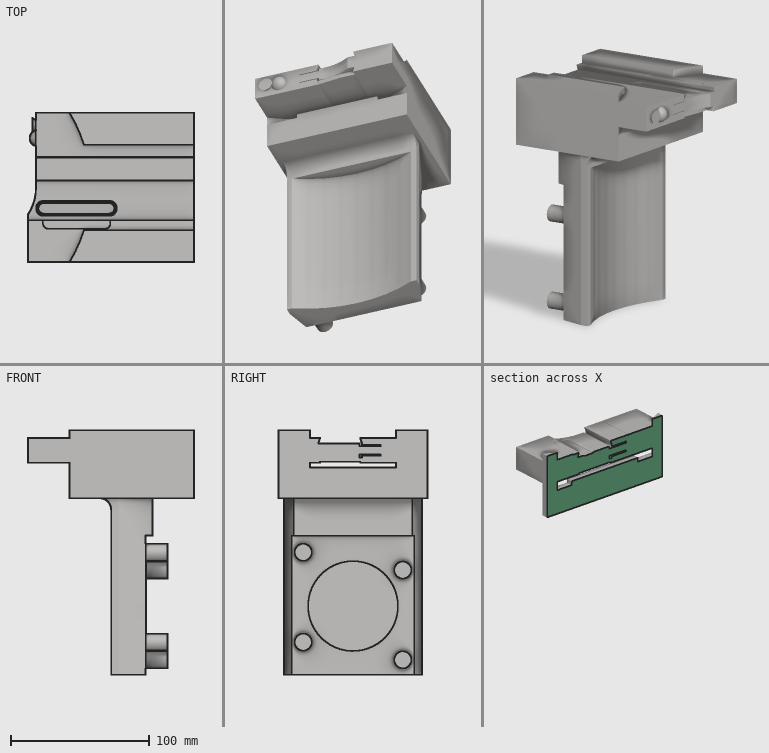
import cadquery as cq
import math

LENGTH = 120.0
WIDTH = 108.0
HEIGHT = 177.0

BASE_FRONT = 30.0
BASE_BOTTOM = 127.6
RAIL_INNER_Y = 31.0
RAIL_FRONT_INNER_X = 40.4
LEDGE_Z = 146.9
CHANNEL_FLOOR_Z = 150.0

PLATE_THICKNESS = 18.0
PLATE_TOP = 171.3
PLATE_BOTTOM = PLATE_TOP - PLATE_THICKNESS
PLATE_MID_Z = PLATE_TOP - PLATE_THICKNESS / 2
PLATE_STEP_X = 5.7
STEP_CURVE_RADIUS = 36.2

DOVETAIL_DEPTH = 4.0
DOVETAIL_LEFT_Y = 5.1
DOVETAIL_RIGHT_Y = -23.7
DOVETAIL_UNDERCUT = 1.3
NOTCH_RIGHT_Y = 4.7
NOTCH_DEPTH = 5.9
SLIT_END_Y = 19.9
SLIT_WIDTH = 0.7
SEAM_Y = 21.8
SEAM_WIDTH = 0.6
SEAM_DEPTH = 0.2

FILLER_BOTTOM = 154.0
FILLER_LEFT_FRONT_X = 6.7
FILLER_FRONT_X = 4.6
FILLER_CORNER_Y = -12.4

OBLONG_X = 35.0
OBLONG_Y = -15.1
OBLONG_LENGTH = 58.4
OBLONG_WIDTH = 10.9
OBLONG_BEVEL = 0.8
OBLONG_BEVEL_DEPTH = 0.4
OBLONG_INNER_INSET = 1.7
OBLONG_DEPTH = 0.7

POCKET_X_START = 10.8
POCKET_X_END = 59.6
POCKET_OUTER_Y = -29.9
POCKET_CORNER_RADIUS = 4.0
POCKET_DEPTH = 0.5

BALL_Y = 35.6
BALL_RADIUS = 5.9
BALL_CENTER_X = 7.0
BUTTON_Y = 45.2
BUTTON_HEAD_RADIUS = 5.1
BUTTON_NECK_RADIUS = 3.6
BUTTON_HEIGHT = 2.5

POST_FRONT = 60.0
POST_BACK = 85.0
POST_HEAD_BACK = 90.0
POST_HEAD_BOTTOM = 100.6
POST_HALF_WIDTH = 50.0
POST_TAPER_START_X = 65.8
POST_TAPER_SLOPE = 0.29
HOLLOW_HALF_WIDTH = 46.0
HOLLOW_DEPTH = 10.8
HOLLOW_TOP_GAP = 10.5
HOLLOW_TOP = BASE_BOTTOM - HOLLOW_TOP_GAP
POST_FILLET = 8.0

BOSS_Z = 49.75
BOSS_RADIUS = 32.5
BOSS_HEIGHT = 0.6
PIN_RADIUS = 6.2
PIN_TIP_X = 101.0
PIN_Y = 36.0
PIN_SPACING_Z = 64.9
PIN_ROW_SHIFT = 6.4


def box(x_range, y_range, z_range):
    """Axis-aligned box between pairs of coordinates."""
    (x0, x1), (y0, y1), (z0, z1) = x_range, y_range, z_range
    return cq.Workplane("XY").box(x1 - x0, y1 - y0, z1 - z0, centered=False).translate((x0, y0, z0))


def mirror_about_plate(shape):
    """Copy a shape to the other side of the plate's middle plane."""
    return shape.mirror("XY", (0, 0, PLATE_MID_Z))


def along_x(points):
    """Extrude a (y, z) outline along the full length of the part."""
    return cq.Workplane("YZ").polyline(points).close().extrude(LENGTH)


def make_base():
    """Block with a top channel and rails whose front ends are curved."""
    half = WIDTH / 2
    base = box((BASE_FRONT, LENGTH), (-half, half), (BASE_BOTTOM, HEIGHT))
    base = base.cut(box((BASE_FRONT, LENGTH), (-RAIL_INNER_Y, RAIL_INNER_Y), (CHANNEL_FLOOR_Z, HEIGHT)))
    outer_sq = BASE_FRONT**2 + half**2
    inner_sq = RAIL_FRONT_INNER_X**2 + RAIL_INNER_Y**2
    center_x = (inner_sq - outer_sq) / (2 * (RAIL_FRONT_INNER_X - BASE_FRONT))
    radius = math.hypot(BASE_FRONT - center_x, half)
    cylinder = (
        cq.Workplane("XY", origin=(center_x, 0, LEDGE_Z)).circle(radius).extrude(HEIGHT - LEDGE_Z)
    )
    core = box((BASE_FRONT, LENGTH), (-RAIL_INNER_Y, RAIL_INNER_Y), (LEDGE_Z, CHANNEL_FLOOR_Z))
    return base.cut(cylinder.cut(core))


def make_plate():
    """Plate whose front curves from the set-back half to the forward half."""
    half = WIDTH / 2
    drop = STEP_CURVE_RADIUS - PLATE_STEP_X
    curve_end_y = -math.sqrt(STEP_CURVE_RADIUS**2 - drop**2)
    half_angle = math.acos(drop / STEP_CURVE_RADIUS) / 2
    curve_mid = (
        PLATE_STEP_X - STEP_CURVE_RADIUS * (1 - math.cos(half_angle)),
        -STEP_CURVE_RADIUS * math.sin(half_angle),
    )
    return (
        cq.Workplane("XY", origin=(0, 0, PLATE_BOTTOM))
        .moveTo(PLATE_STEP_X, half)
        .lineTo(PLATE_STEP_X, 0)
        .threePointArc(curve_mid, (0, curve_end_y))
        .lineTo(0, -half)
        .lineTo(LENGTH, -half)
        .lineTo(LENGTH, half)
        .close()
        .extrude(PLATE_THICKNESS)
    )


def make_dovetail():
    """Upper dovetail along the part, wider at its floor than at the plate's top face."""
    floor_z = PLATE_TOP - DOVETAIL_DEPTH
    return along_x([
        (DOVETAIL_LEFT_Y, PLATE_TOP),
        (DOVETAIL_RIGHT_Y, PLATE_TOP),
        (DOVETAIL_RIGHT_Y - DOVETAIL_UNDERCUT, floor_z),
        (DOVETAIL_LEFT_Y + DOVETAIL_UNDERCUT, floor_z),
    ])


def make_channel():
    """Upper dovetail with its corner notch and thin slit."""
    channel = make_dovetail()
    notch_left_y = DOVETAIL_LEFT_Y + DOVETAIL_UNDERCUT
    notch_bottom = PLATE_TOP - NOTCH_DEPTH
    notch = box((0, LENGTH), (NOTCH_RIGHT_Y, notch_left_y), (notch_bottom, PLATE_TOP - DOVETAIL_DEPTH))
    slit = box((0, LENGTH), (NOTCH_RIGHT_Y, SLIT_END_Y), (notch_bottom, notch_bottom + SLIT_WIDTH))
    return channel.union(notch).union(slit)


def make_seam():
    half = SEAM_WIDTH / 2
    return box((0, LENGTH), (SEAM_Y - half, SEAM_Y + half), (PLATE_TOP - SEAM_DEPTH, PLATE_TOP))


def make_filler():
    """Strip that fills the lower dovetail, with a slightly angled front."""
    section = mirror_about_plate(make_dovetail())
    left_y = DOVETAIL_LEFT_Y + DOVETAIL_UNDERCUT
    right_y = DOVETAIL_RIGHT_Y - DOVETAIL_UNDERCUT
    plan = (
        cq.Workplane("XY", origin=(0, 0, FILLER_BOTTOM))
        .polyline([
            (FILLER_LEFT_FRONT_X, left_y),
            (FILLER_FRONT_X, FILLER_CORNER_Y),
            (FILLER_FRONT_X, right_y),
            (LENGTH, right_y),
            (LENGTH, left_y),
        ])
        .close()
        .extrude(PLATE_BOTTOM + DOVETAIL_DEPTH - FILLER_BOTTOM)
    )
    return section.intersect(plan)


def make_oblong_recess():
    floor_z = PLATE_TOP - DOVETAIL_DEPTH
    taper = math.degrees(math.atan2(OBLONG_BEVEL, OBLONG_BEVEL_DEPTH))
    bevel = (
        cq.Workplane("XY", origin=(OBLONG_X, OBLONG_Y, floor_z))
        .slot2D(OBLONG_LENGTH, OBLONG_WIDTH)
        .extrude(-OBLONG_BEVEL_DEPTH, taper=taper)
    )
    inner = (
        cq.Workplane("XY", origin=(OBLONG_X, OBLONG_Y, floor_z))
        .slot2D(OBLONG_LENGTH - 2 * OBLONG_INNER_INSET, OBLONG_WIDTH - 2 * OBLONG_INNER_INSET)
        .extrude(-OBLONG_DEPTH)
    )
    return bevel.union(inner)


def make_pocket():
    pocket = box(
        (POCKET_X_START, POCKET_X_END),
        (POCKET_OUTER_Y, DOVETAIL_RIGHT_Y),
        (PLATE_TOP - POCKET_DEPTH, PLATE_TOP),
    )
    return pocket.edges("|Z and <Y").fillet(POCKET_CORNER_RADIUS)


def make_front_fittings():
    ball = cq.Workplane("XY").sphere(BALL_RADIUS).translate((BALL_CENTER_X, BALL_Y, PLATE_MID_Z))
    button = (
        cq.Workplane("YZ", origin=(PLATE_STEP_X - BUTTON_HEIGHT, BUTTON_Y, PLATE_MID_Z))
        .circle(BUTTON_HEAD_RADIUS)
        .workplane(offset=BUTTON_HEIGHT)
        .circle(BUTTON_NECK_RADIUS)
        .loft()
    )
    return ball.union(button)


def make_post_prism(back_x, bottom, top):
    """Post section: flat front, short straight sides, then sides tapering to the back."""
    back_half = POST_HALF_WIDTH - POST_TAPER_SLOPE * (back_x - POST_TAPER_START_X)
    return (
        cq.Workplane("XY", origin=(0, 0, bottom))
        .polyline([
            (POST_FRONT, -POST_HALF_WIDTH),
            (POST_TAPER_START_X, -POST_HALF_WIDTH),
            (back_x, -back_half),
            (back_x, back_half),
            (POST_TAPER_START_X, POST_HALF_WIDTH),
            (POST_FRONT, POST_HALF_WIDTH),
        ])
        .close()
        .extrude(top - bottom)
    )


def make_post():
    """Post with a hollowed front, a deeper head and a fillet under the base."""
    post = make_post_prism(POST_BACK, 0, BASE_BOTTOM)
    post = post.union(make_post_prism(POST_HEAD_BACK, POST_HEAD_BOTTOM, BASE_BOTTOM))
    hollow = (
        cq.Workplane("XY")
        .moveTo(POST_FRONT, -HOLLOW_HALF_WIDTH)
        .threePointArc((POST_FRONT + HOLLOW_DEPTH, 0), (POST_FRONT, HOLLOW_HALF_WIDTH))
        .close()
        .extrude(HOLLOW_TOP)
    )
    fillet_x = POST_FRONT - POST_FILLET
    fillet_z = BASE_BOTTOM - POST_FILLET
    diagonal = POST_FILLET * math.sqrt(0.5)
    fillet = (
        cq.Workplane("XZ", origin=(0, POST_HALF_WIDTH, 0))
        .moveTo(POST_FRONT, BASE_BOTTOM)
        .lineTo(fillet_x, BASE_BOTTOM)
        .threePointArc((fillet_x + diagonal, fillet_z + diagonal), (POST_FRONT, fillet_z))
        .close()
        .extrude(2 * POST_HALF_WIDTH)
    )
    return post.cut(hollow).union(fillet)


def make_back_fittings():
    fittings = cq.Workplane("YZ", origin=(POST_BACK, 0, BOSS_Z)).circle(BOSS_RADIUS).extrude(BOSS_HEIGHT)
    for side in (-1, 1):
        for level in (-1, 1):
            pin_z = BOSS_Z - side * PIN_ROW_SHIFT + level * PIN_SPACING_Z / 2
            pin = (
                cq.Workplane("YZ", origin=(POST_BACK, side * PIN_Y, pin_z))
                .circle(PIN_RADIUS)
                .extrude(PIN_TIP_X - POST_BACK)
            )
            fittings = fittings.union(pin)
    return fittings


channel = make_channel()
plate = make_plate().cut(channel).cut(mirror_about_plate(channel))
plate = plate.cut(make_seam()).cut(make_oblong_recess()).cut(make_pocket())
plate = plate.union(make_filler()).union(make_front_fittings())

result = make_base().union(plate).union(make_post()).union(make_back_fittings())